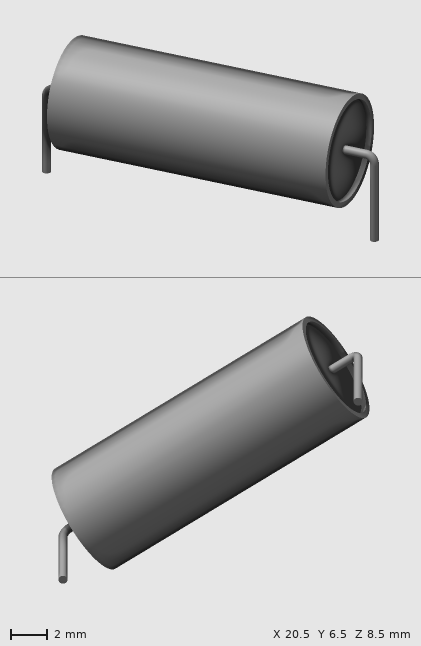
import cadquery as cq

body_length = 17.0
body_diameter = 6.5
recess_diameter = 5.85
recess_depth = (body_diameter - recess_diameter) / 2

lead_diameter = 0.5
lead_pitch = 20.0
lead_drop = 2.0
bend_radius = 0.5
lead_embed = 0.5

axis_z = body_diameter / 2
half_length = body_length / 2
half_pitch = lead_pitch / 2


def make_body():
    """Round body with a shallow circular recess in each end face."""
    body = (
        cq.Workplane("YZ", origin=(-half_length, 0, axis_z))
        .circle(body_diameter / 2)
        .extrude(body_length)
    )
    for face in ("<X", ">X"):
        body = (
            body.faces(face)
            .workplane(origin=(0, 0, axis_z))
            .circle(recess_diameter / 2)
            .cutBlind(-recess_depth)
        )
    return body


def make_left_lead():
    """Wire running up from its tip, then bending into the body along +X."""
    bend_start = (-half_pitch, axis_z - bend_radius)
    bend_end = (-half_pitch + bend_radius, axis_z)
    inner_end = (-half_length + recess_depth + lead_embed, axis_z)
    path = (
        cq.Workplane("XZ")
        .moveTo(-half_pitch, -lead_drop)
        .lineTo(*bend_start)
        .tangentArcPoint(bend_end, relative=False)
        .lineTo(*inner_end)
    )
    return (
        cq.Workplane("XY", origin=(-half_pitch, 0, -lead_drop))
        .circle(lead_diameter / 2)
        .sweep(path)
    )


left_lead = make_left_lead()
right_lead = left_lead.mirror("YZ")
result = make_body().union(left_lead).union(right_lead)